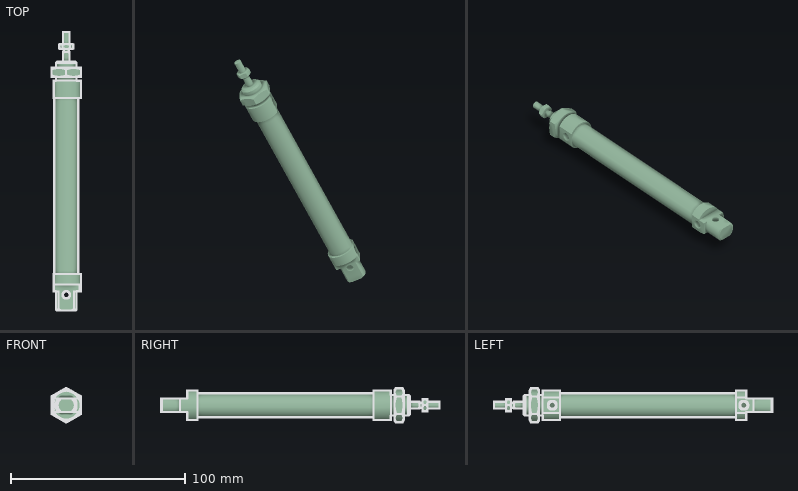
import cadquery as cq
import math

OVERALL_LENGTH = 160.0

ROD_NUT_FLATS = 7.0
ROD_NUT_START = 6.9
ROD_NUT_LENGTH = 3.0
ROD_NUT_END = ROD_NUT_START + ROD_NUT_LENGTH
ROD_NUT_FACE_DIAMETER = 6.8

ROD_DIAMETER = 4.0
RELIEF_DIAMETER = 3.0
RELIEF_START = ROD_NUT_END
RELIEF_END = 11.6
SOCKET_DEPTH = 10.0

NECK_DIAMETER = 12.0
NECK_START = 17.0
NECK_CHAMFER = 1.0

NECK_NUT_FLATS = 17.0
NECK_NUT_START = 20.5
NECK_NUT_LENGTH = 5.5
NECK_NUT_END = NECK_NUT_START + NECK_NUT_LENGTH
NECK_NUT_FACE_DIAMETER = 16.5

NUT_CHAMFER_ANGLE = 30

CAP_DIAMETER = 17.0
FRONT_CAP_START = 28.0
FRONT_CAP_END = 38.0
REAR_CAP_START = 139.0
REAR_CAP_END = 149.0
TUBE_DIAMETER = 14.0
CAP_FLAT_WIDTH = 8.8

PORT_DIAMETER = 4.2
PORT_MOUTH_DIAMETER = 5.1
PORT_DEPTH = 4.0
FRONT_PORT_STATION = 33.5
REAR_PORT_STATION = 143.5

LUG_THICKNESS = 8.0
LUG_FLATS_START = 145.0
LUG_HOLE_DIAMETER = 4.0
LUG_HOLE_STATION = 151.0
LUG_END_DIAMETER = 10.0
LUG_CHAMFER_ANGLE = 30

CAP_FLAT_OFFSET = math.sqrt(CAP_DIAMETER**2 - CAP_FLAT_WIDTH**2) / 2


def section_plane(station):
    """Plane across the axis, with its normal pointing to the rear (-Y)."""
    return cq.Plane(origin=(0, -station, 0), xDir=(1, 0, 0), normal=(0, -1, 0))


def cylinder(diameter, start, end):
    return cq.Workplane(section_plane(start)).circle(diameter / 2).extrude(end - start)


def box(x_range, y_range, z_range):
    corner = (x_range[0], y_range[0], z_range[0])
    size = [high - low for low, high in (x_range, y_range, z_range)]
    return cq.Workplane("XY").box(*size, centered=False).translate(corner)


def make_rod():
    rod = cylinder(ROD_DIAMETER, 0, NECK_START + SOCKET_DEPTH)
    relief_blank = cylinder(ROD_DIAMETER, RELIEF_START, RELIEF_END)
    return rod.cut(relief_blank).union(cylinder(RELIEF_DIAMETER, RELIEF_START, RELIEF_END))


def cut_port(body, station):
    plane = cq.Plane(origin=(-CAP_FLAT_OFFSET, -station, 0), xDir=(0, 1, 0), normal=(1, 0, 0))
    bore = cq.Workplane(plane).circle(PORT_DIAMETER / 2).extrude(PORT_DEPTH)
    mouth_depth = (PORT_MOUTH_DIAMETER - PORT_DIAMETER) / 2
    mouth = cq.Workplane(plane).circle(PORT_MOUTH_DIAMETER / 2).extrude(mouth_depth, taper=45)
    return body.cut(bore.union(mouth))


def make_cap(start, end, port_station):
    """Round cap with one flat on the -X side and a blind countersunk port in that flat."""
    radius = CAP_DIAMETER / 2
    cap = cylinder(CAP_DIAMETER, start, end)
    cap = cap.cut(box((-radius, -CAP_FLAT_OFFSET), (-end, -start), (-radius, radius)))
    return cut_port(cap, port_station)


def cut_lug_flats(body):
    radius = CAP_DIAMETER / 2
    half = LUG_THICKNESS / 2
    for z_range in ((half, radius), (-radius, -half)):
        body = body.cut(box((-radius, radius), (-OVERALL_LENGTH, -LUG_FLATS_START), z_range))
    return body


def make_housing():
    neck = cylinder(NECK_DIAMETER, NECK_START, FRONT_CAP_START).faces(">Y").chamfer(NECK_CHAMFER)
    lug = cylinder(NECK_DIAMETER, REAR_CAP_END, OVERALL_LENGTH)
    end_inset = (NECK_DIAMETER - LUG_END_DIAMETER) / 2
    end_length = end_inset * math.tan(math.radians(LUG_CHAMFER_ANGLE))
    lug = lug.faces("<Y").chamfer(end_length, end_inset)
    housing = cylinder(TUBE_DIAMETER, FRONT_CAP_END, REAR_CAP_START)
    housing = housing.union(make_cap(FRONT_CAP_START, FRONT_CAP_END, FRONT_PORT_STATION))
    housing = housing.union(make_cap(REAR_CAP_START, REAR_CAP_END, REAR_PORT_STATION))
    housing = housing.union(neck).union(lug)
    housing = cut_lug_flats(housing)
    lug_hole = (
        cq.Workplane("XY")
        .center(0, -LUG_HOLE_STATION)
        .circle(LUG_HOLE_DIAMETER / 2)
        .extrude(LUG_THICKNESS / 2, both=True)
    )
    rod_socket = cylinder(ROD_DIAMETER, NECK_START, NECK_START + SOCKET_DEPTH)
    return housing.cut(lug_hole).cut(rod_socket)


def nut_blank(face_diameter, corner_span, start, end):
    """Round blank chamfered at both ends, which trims the corners of a nut."""
    face_radius = face_diameter / 2
    corner_radius = corner_span / 2
    chamfer_length = (corner_radius - face_radius) * math.tan(math.radians(NUT_CHAMFER_ANGLE))
    outline = [
        (0, -start),
        (face_radius, -start),
        (corner_radius, -start - chamfer_length),
        (corner_radius, -end + chamfer_length),
        (face_radius, -end),
        (0, -end),
    ]
    return cq.Workplane("XY").polyline(outline).close().revolve(360, (0, 0), (0, 1))


def make_nut(flats, face_diameter, bore_diameter, start, end, turn):
    """Hexagon nut; a turn of 0 puts corners on the Z axis, 30 puts them on the X axis."""
    corner_span = flats / math.cos(math.radians(30))
    hexagon = cq.Workplane(section_plane(start)).polygon(6, corner_span).extrude(end - start)
    hexagon = hexagon.rotate((0, 0, 0), (0, 1, 0), turn - 30)
    nut = hexagon.intersect(nut_blank(face_diameter, corner_span, start, end))
    return nut.cut(cylinder(bore_diameter, start, end))


housing = make_housing()
rod = make_rod()
rod_nut = make_nut(
    ROD_NUT_FLATS, ROD_NUT_FACE_DIAMETER, ROD_DIAMETER, ROD_NUT_START, ROD_NUT_END, turn=30
)
neck_nut = make_nut(
    NECK_NUT_FLATS, NECK_NUT_FACE_DIAMETER, NECK_DIAMETER, NECK_NUT_START, NECK_NUT_END, turn=0
)

bodies = [housing, rod, rod_nut, neck_nut]
result = cq.Compound.makeCompound([body.solids().val() for body in bodies])